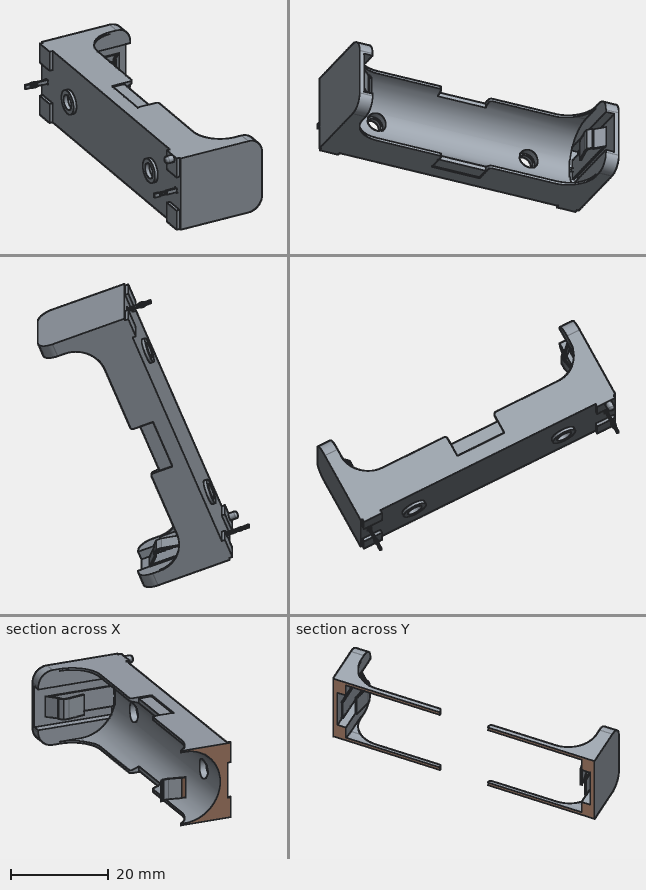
import cadquery as cq
import math


LENGTH = 58.9
WIDTH = 16.5
HEIGHT = 19.1
END_WALL = 2.95
END_CORNER_RADIUS = 3.25

SIDE_HEIGHT = 8.0
SIDE_SWEEP_RADIUS = 6.3
CRADLE_RADIUS = 7.8
FLOOR = 1.75
CRADLE_AXIS_Y = FLOOR + CRADLE_RADIUS

NOTCH_LENGTH = 10.85
NOTCH_BOTTOM = 6.05
NOTCH_CORNER_RADIUS = 0.6
RECESS_BOTTOM = 3.2
RECESS_DEPTH = 0.3

STANDOFF = 0.7
PAD_LENGTH = 4.2
PAD_WIDTH = 4.4
PAD_INSET = 0.4

BOSS_DIAMETER = 5.2
SCREW_HOLE_DIAMETER = 3.25
SCREW_HEAD_DIAMETER = 4.1
SCREW_SEAT_Y = 0.3
SCREW_X = 17.25

PEG_DIAMETER = 1.55
PEG_LENGTH = 2.5
PEG_TIP_RADIUS = 0.55

PIN_X = 27.4
PIN_WIDTH = 0.9
PIN_TIP_Y = -5.0
STRIP = 0.35
SPRING_WIDTH = 4.5
SPRING_TOP = 16.6
JOGGLE_X = 25.7
JOGGLE_STEP = 0.35
SPRING_NOSE_X = 24.6
SPRING_NOSE_LENGTH = 1.0
SPRING_END_X = 25.35
SPRING_END_Y = 9.4
BOW_TOP = -2.1
BOW_BOTTOM = -3.9
BOW_OFFSET = 0.25

POCKET_DEPTH = 1.9
POCKET_WIDTH = 8.95
SLOT_LENGTH = 1.0

SIDES = (-1, 1)


def box(x_range, y_range, z_range):
    """Box between the given limits on each axis."""
    x_size, y_size, z_size = (high - low for low, high in (x_range, y_range, z_range))
    corner = (x_range[0], y_range[0], z_range[0])
    return cq.Workplane("XY").box(x_size, y_size, z_size, centered=False).translate(corner)


def centred_box(x_size, x_middle, y_range, z_size):
    """Box centred on Z = 0 and on the given X."""
    x_range = (x_middle - x_size / 2, x_middle + x_size / 2)
    return box(x_range, y_range, (-z_size / 2, z_size / 2))


def post(diameter, length, x, z, start=0.0):
    """Round post running down (-Y) from the height `start`."""
    axis_plane = cq.Workplane("XZ", origin=(x, start, z))
    return axis_plane.circle(diameter / 2).extrude(length)


def housing_blank():
    """Solid block with the side outline, the end walls rounded at their tops."""
    half = LENGTH / 2
    inner = half - END_WALL
    sweep = SIDE_SWEEP_RADIUS
    sweep_start = SIDE_HEIGHT + sweep
    notch = NOTCH_LENGTH / 2
    corner = NOTCH_CORNER_RADIUS
    side_outline = (
        cq.Workplane("XY", origin=(0, 0, -WIDTH / 2))
        .moveTo(-half, 0)
        .lineTo(half, 0)
        .lineTo(half, HEIGHT)
        .lineTo(inner, HEIGHT)
        .lineTo(inner, sweep_start)
        .radiusArc((inner - sweep, SIDE_HEIGHT), sweep)
        .lineTo(notch + corner, SIDE_HEIGHT)
        .radiusArc((notch, SIDE_HEIGHT - corner), -corner)
        .lineTo(notch, NOTCH_BOTTOM)
        .lineTo(-notch, NOTCH_BOTTOM)
        .lineTo(-notch, SIDE_HEIGHT - corner)
        .radiusArc((-notch - corner, SIDE_HEIGHT), -corner)
        .lineTo(-inner + sweep, SIDE_HEIGHT)
        .radiusArc((-inner, sweep_start), sweep)
        .lineTo(-inner, HEIGHT)
        .lineTo(-half, HEIGHT)
        .close()
        .extrude(WIDTH)
    )
    end_outline = box((-half, half), (0, HEIGHT), (-WIDTH / 2, WIDTH / 2))
    end_outline = end_outline.edges("|X and >Y").fillet(END_CORNER_RADIUS)
    return side_outline.intersect(end_outline)


def cradle():
    """U-shaped battery space between the end walls: a round bottom carried straight up."""
    length = LENGTH - 2 * END_WALL
    end_plane = cq.Workplane("YZ", origin=(-length / 2, CRADLE_AXIS_Y, 0))
    trough = end_plane.circle(CRADLE_RADIUS).extrude(length)
    return trough.union(centred_box(length, 0, (CRADLE_AXIS_Y, HEIGHT), 2 * CRADLE_RADIUS))


def notch_recess(side):
    """Shallow step in the outer face of a side wall, below the finger notch."""
    outer = side * WIDTH / 2
    z_range = sorted((outer, outer - side * RECESS_DEPTH))
    return box((-NOTCH_LENGTH / 2, NOTCH_LENGTH / 2), (RECESS_BOTTOM, SIDE_HEIGHT), z_range)


def corner_pad(x_side, z_side):
    """Rectangular standoff at one corner of the mounting face."""
    x_outer = x_side * (LENGTH / 2 - PAD_INSET)
    z_outer = z_side * WIDTH / 2
    x_range = sorted((x_outer, x_outer - x_side * PAD_LENGTH))
    z_range = sorted((z_outer, z_outer - z_side * PAD_WIDTH))
    return box(x_range, (-STANDOFF, 0), z_range)


def screw_hole(side):
    """Hole through a boss and the floor, wider above the screw seat."""
    x = side * SCREW_X
    shank = post(SCREW_HOLE_DIAMETER, SCREW_SEAT_Y + STANDOFF, x, 0, start=SCREW_SEAT_Y)
    head = post(SCREW_HEAD_DIAMETER, CRADLE_AXIS_Y - SCREW_SEAT_Y, x, 0, start=CRADLE_AXIS_Y)
    return shank.union(head)


def polarity_peg():
    """Round-ended peg marking the +X end, flush with the +Z side."""
    peg = post(PEG_DIAMETER, PEG_LENGTH, PIN_X, WIDTH / 2 - PEG_DIAMETER / 2)
    return peg.faces("<Y").edges().fillet(PEG_TIP_RADIUS)


def contact_pocket(side):
    """Space for a contact in an end wall, open to the cradle and the top, with its pin slot."""
    middle = side * (LENGTH / 2 - END_WALL + POCKET_DEPTH / 2)
    pocket = centred_box(POCKET_DEPTH, middle, (FLOOR, HEIGHT), POCKET_WIDTH)
    return pocket.union(centred_box(SLOT_LENGTH, side * PIN_X, (0, FLOOR), PIN_WIDTH))


def make_housing():
    body = housing_blank().cut(cradle())
    for side in SIDES:
        body = body.cut(notch_recess(side)).cut(contact_pocket(side))
        body = body.union(post(BOSS_DIAMETER, STANDOFF, side * SCREW_X, 0))
        body = body.cut(screw_hole(side))
        for z_side in SIDES:
            body = body.union(corner_pad(side, z_side))
    return body.union(polarity_peg())


def ribbon(path, width):
    """Strip of constant thickness along a bent centre line in XY, mitred at the bends."""
    headings = [math.atan2(y1 - y0, x1 - x0) for (x0, y0), (x1, y1) in zip(path, path[1:])]
    left = []
    right = []
    for (x, y), before, after in zip(path, headings[:1] + headings, headings + headings[-1:]):
        turn = math.remainder(after - before, 2 * math.pi)
        reach = STRIP / 2 / math.cos(turn / 2)
        normal = before + turn / 2 + math.pi / 2
        dx = reach * math.cos(normal)
        dy = reach * math.sin(normal)
        left.append((x + dx, y + dy))
        right.append((x - dx, y - dy))
    outline = left + right[::-1]
    return cq.Workplane("XY", origin=(0, 0, -width / 2)).polyline(outline).close().extrude(width)


def pin_half(bow_side):
    """Half of the pin's width, bowed along X by an arc; +1 is the upper, outward half."""
    inner = PIN_X - STRIP / 2
    outer = PIN_X + STRIP / 2
    bow = bow_side * BOW_OFFSET
    bow_middle = (BOW_TOP + BOW_BOTTOM) / 2
    z_start = min(0, bow_side * PIN_WIDTH / 2)
    return (
        cq.Workplane("XY", origin=(0, 0, z_start))
        .moveTo(inner, PIN_TIP_Y)
        .lineTo(inner, BOW_BOTTOM)
        .threePointArc((inner + bow, bow_middle), (inner, BOW_TOP))
        .lineTo(inner, FLOOR)
        .lineTo(outer, FLOOR)
        .lineTo(outer, BOW_TOP)
        .threePointArc((outer + bow, bow_middle), (outer, BOW_BOTTOM))
        .lineTo(outer, PIN_TIP_Y)
        .close()
        .extrude(PIN_WIDTH / 2)
    )


def make_contact(side):
    """Pin split into two opposed bows, and broad bent spring, cut from one strip."""
    pin = pin_half(1).union(pin_half(-1))

    joggle_y = SPRING_TOP - (PIN_X - JOGGLE_X)
    joggle_end_x = JOGGLE_X - JOGGLE_STEP
    nose_top = joggle_y - (joggle_end_x - SPRING_NOSE_X)
    spring = ribbon(
        [
            (PIN_X, FLOOR),
            (PIN_X, SPRING_TOP),
            (JOGGLE_X, joggle_y),
            (joggle_end_x, joggle_y),
            (SPRING_NOSE_X, nose_top),
            (SPRING_NOSE_X, nose_top - SPRING_NOSE_LENGTH),
            (SPRING_END_X, SPRING_END_Y),
        ],
        SPRING_WIDTH,
    )
    contact = pin.union(spring)
    return contact if side > 0 else contact.mirror("YZ")


housing = make_housing()
contacts = [make_contact(side) for side in SIDES]

result = cq.Compound.makeCompound([housing.val(), *[contact.val() for contact in contacts]])